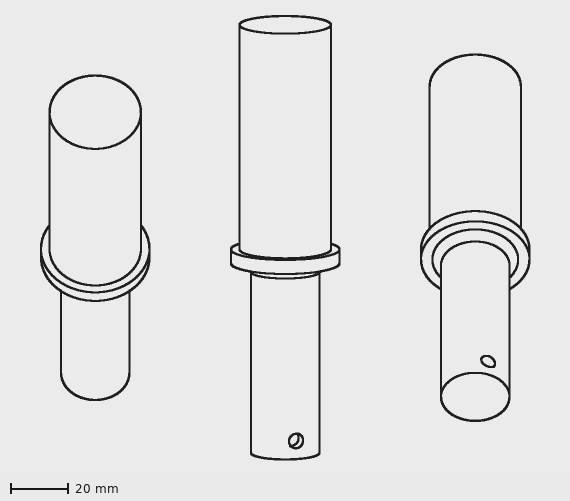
import cadquery as cq

total_length = 152.5

upper_diameter = 32.0
upper_length = 80.0

collar_diameter = 38.0
collar_thickness = 5.0

lower_diameter = 24.0
cone_height = 3.0
cone_top_diameter = lower_diameter + 2 * cone_height

cross_hole_diameter = 5.2
cross_hole_depth = 5.0
cross_hole_height = 6.5

collar_top = total_length - upper_length
collar_bottom = collar_top - collar_thickness
cone_bottom = collar_bottom - cone_height


def make_stepped_shaft():
    """Revolve the half profile of the shaft about the Z axis."""
    profile = (
        cq.Workplane("XZ")
        .moveTo(0, 0)
        .lineTo(lower_diameter / 2, 0)
        .lineTo(lower_diameter / 2, cone_bottom)
        .lineTo(cone_top_diameter / 2, collar_bottom)
        .lineTo(collar_diameter / 2, collar_bottom)
        .lineTo(collar_diameter / 2, collar_top)
        .lineTo(upper_diameter / 2, collar_top)
        .lineTo(upper_diameter / 2, total_length)
        .lineTo(0, total_length)
        .close()
    )
    return profile.revolve(360, (0, 0, 0), (0, 1, 0))


def make_cross_hole():
    """Cylinder that enters the lower pin from its +Y side, toward the axis."""
    return (
        cq.Workplane("XZ", origin=(0, lower_diameter / 2, cross_hole_height))
        .circle(cross_hole_diameter / 2)
        .extrude(cross_hole_depth)
    )


result = make_stepped_shaft().cut(make_cross_hole())